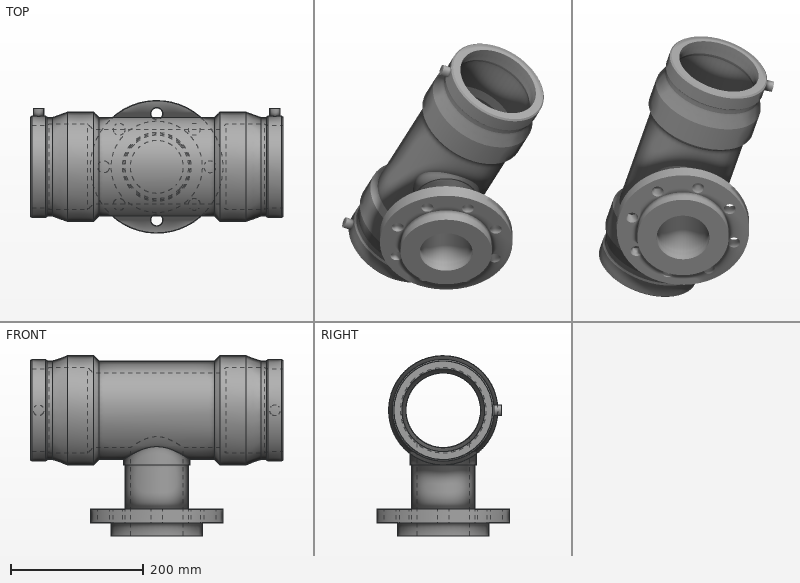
import cadquery as cq

length = 382.0
barrel_dia = 148.5
bulge_dia = 165.0
collar_dia = 153.5
bore_dia = 112.5
mouth_dia = 125.0

collar_chamfer = 2.3
collar_end = 25.5
cone_start = 33.5
bulge_start = 56.5
bulge_end = 95.5
barrel_start = 104.0
mouth_depth = 23.3
recess_start = 28.5
recess_end = 86.7
shoulder_end = 95.0

recess_dia = 129.0

pin_dia = 16.0
pin_from_end = 12.5
pin_tip_y = 88.2

neck_dia = 100.0
branch_dia = 96.0
branch_bore_dia = 80.0
flange_dia = 200.0
flange_bore_dia = 104.0
raised_face_dia = 138.0
overall_height = 272.5
raised_face_thickness = 20.0
flange_thickness = 20.5
bolt_hole_dia = 18.0
bolt_circle_dia = 160.5
bolt_count = 8

branch_bottom = bulge_dia / 2 - overall_height
flange_bottom = branch_bottom + raised_face_thickness
neck_bottom = -bulge_dia / 2


def revolve_half(profile):
    """Turn (distance from end, diameter) pairs into one half of a body about X."""
    outline = [(depth - length / 2, dia / 2) for depth, dia in profile]
    outline = [(outline[0][0], 0)] + outline + [(outline[-1][0], 0)]
    half = cq.Workplane("XY").polyline(outline).close()
    return half.revolve(360, (0, 0, 0), (1, 0, 0))


def both_ends(half):
    return half.union(half.mirror("YZ"))


def vertical_cylinder(dia, bottom, height):
    return cq.Workplane("XY").workplane(offset=bottom).circle(dia / 2).extrude(height)


def main_pipe():
    return both_ends(revolve_half([
        (0, collar_dia - 2 * collar_chamfer),
        (collar_chamfer, collar_dia),
        (collar_end - collar_chamfer, collar_dia),
        (collar_end, barrel_dia),
        (cone_start, barrel_dia),
        (bulge_start, bulge_dia),
        (bulge_end, bulge_dia),
        (barrel_start, barrel_dia),
        (length / 2, barrel_dia),
    ]))


def main_bore():
    return both_ends(revolve_half([
        (0, mouth_dia),
        (mouth_depth, mouth_dia),
        (recess_start, recess_dia),
        (recess_end, recess_dia),
        (shoulder_end, bore_dia),
        (length / 2, bore_dia),
    ]))


def collar_pins():
    pin_x = length / 2 - pin_from_end
    pins = cq.Workplane("XZ").pushPoints([(-pin_x, 0), (pin_x, 0)])
    return pins.circle(pin_dia / 2).extrude(-pin_tip_y)


def branch():
    neck = vertical_cylinder(neck_dia, neck_bottom, -neck_bottom)
    pipe = vertical_cylinder(branch_dia, branch_bottom, -branch_bottom)
    raised_face = vertical_cylinder(raised_face_dia, branch_bottom, raised_face_thickness)
    flange = vertical_cylinder(flange_dia, flange_bottom, flange_thickness)
    bolt_holes = (
        cq.Workplane("XY").workplane(offset=flange_bottom)
        .polarArray(bolt_circle_dia / 2, 90, 360, bolt_count)
        .circle(bolt_hole_dia / 2).extrude(flange_thickness)
    )
    flange_bore = vertical_cylinder(flange_bore_dia, flange_bottom, flange_thickness)
    flange = flange.cut(bolt_holes).cut(flange_bore)
    return neck.union(pipe).union(flange).union(raised_face)


branch_bore = vertical_cylinder(branch_bore_dia, branch_bottom, -branch_bottom)

result = main_pipe().union(collar_pins()).union(branch()).cut(main_bore()).cut(branch_bore)